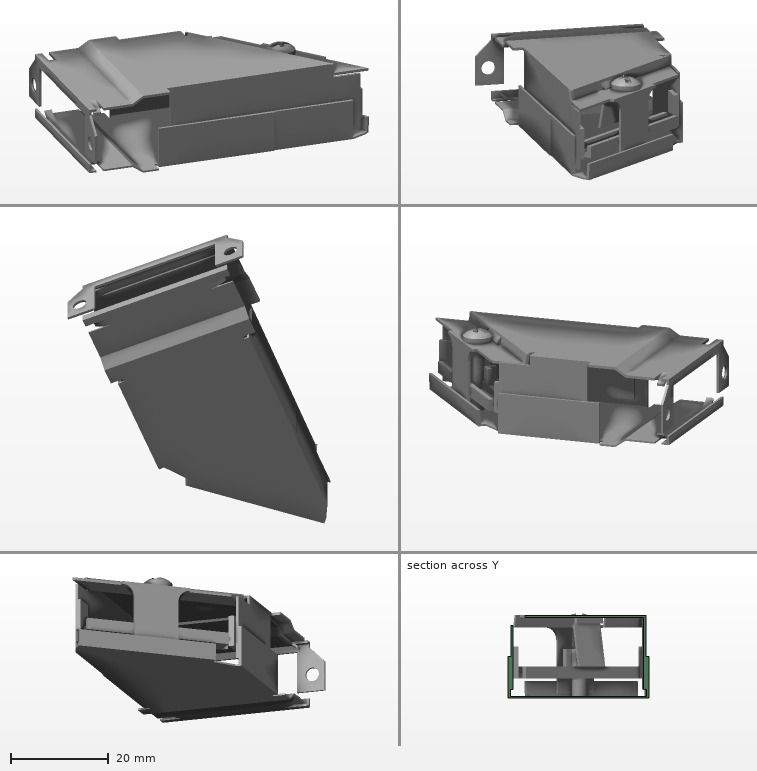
import cadquery as cq
import math

LENGTH = 62.75
LID_T = 0.55
BASE_T = 0.4
WALL_T = 0.6
FLANGE_T = 0.5
OVERLAP = 0.6

MOUTH_HALF = 16.0
JOG_START = 9.5
JOG_END = 11.8
LID_TOP = 17.0
LID_JOG = 1.45
BASE_JOG = 1.6
LID_MOUTH_END = 17.75
BASE_NECK_HALF = 13.35
BASE_MOUTH_END = 15.2
LINER_HALF = 13.35
LINER_END = 19.45

SLOT_START = 1.6
SLOT_END = 3.15
SLOT_INNER = 10.8
CURL_OUTER = 14.45
CURL_DROP = 1.5

EAR_HALF = 19.4
EAR_BOTTOM = 4.9
EAR_SIDE_TOP = 11.05
EAR_SHOULDER = 14.4
WINDOW_HALF = 13.35
WINDOW_TOP = 13.55
EAR_HOLE_X = 16.7
EAR_HOLE_Z = 8.5
EAR_HOLE_D = 2.9

BASE_FLANGE_TOP = 3.45

LEFT_OUTER = -14.7
LEFT_JOINT = LEFT_OUTER + WALL_T
LEFT_INNER = LEFT_JOINT + LID_T
RIGHT_OUTER = 14.4
RIGHT_OUTER_REAR = 14.1
RIGHT_JOINT = 13.9
RIGHT_JOINT_REAR = 13.4
BASE_WALL_TOP = 8.55
BASE_WALL_START = 15.8
LID_WALL_START = 18.6
LID_WALL_BOTTOM = 1.7
LEFT_WALL_END = 37.85
LEFT_STEP = 31.1
RIGHT_STEP = 41.05
RIGHT_BASE_END = 58.35
RIGHT_LID_END = 60.2
RIGHT_REAR_TOP = 14.0

REAR_ANGLE = math.radians(40)
COS = math.cos(REAR_ANGLE)
SIN = math.sin(REAR_ANGLE)
LID_EDGE_V = 33.0
RELIEF_TOE_X = -10.9
RELIEF_KNEE = (-11.5, 31.6)
RELIEF_TIP_X = -12.5
SHELF_TOP = 14.95
SHELF_BOTTOM = SHELF_TOP - LID_T
SHELF_EDGE_V = 38.85
SHELF_LEFT = -13.2
STEP_SLOPE = 0.5
STRAP_V = 39.85
STRAP_U = (27.35, 36.95)
STRAP_FILLET = 2.65
STRAP_BOTTOM = 0.95
REAR_V = 40.6
REAR_LEAN = 0.2
REAR_U = (19.45, (LENGTH - REAR_V * COS) / SIN)

TONGUE_U = (26.75, 33.65)
TONGUE_ROOT = 16.45
TONGUE_CREST_V = 33.9
TONGUE_CREST_Z = 15.2
TONGUE_FOOT_V = 32.25
TONGUE_BOTTOM = 6.45
RELIEF_D = 0.9
RELIEF_REACH = 1.2

CLAMP_T = 1.0
CLAMP_BOTTOM = 4.0
CLAMP_BAR_TOP = 6.45
CLAMP_V = 39.35
CLAMP_U = (16.2, 47.0)
CLAMP_INNER_V = 35.0
CLAMP_EAR_TOP = 10.5
CLAMP_EAR_LENGTH = 4.6
CLAMP_LEFT_X = -12.35
CLAMP_LEFT_END = 39.15
CLAMP_RIGHT_X = 12.2
CLAMP_RIGHT_END = 60.75
CLAMP_INNER_U = (15.2, 46.25)
STOP_U = (26.0, 28.5)
STOP_LEG = 1.45
STOP_TOP = 10.05

SCREW_Y = 47.75
HEAD_R = 3.0
HEAD_RIM_TOP = 16.05
HEAD_TOP = 17.4
SHAFT_D = 2.9
CROSS_W = 1.2
CROSS_L = 3.15
CROSS_TAPER = 15
CROSS_BOTTOM = 15.7
NOTCH_L = 4.95
NOTCH_BOTTOM = 16.6

REAR_PLANE = cq.Plane(origin=(0, 0, 0), xDir=(-SIN, COS, 0), normal=(COS, SIN, 0))
STRAP_PLANE = cq.Plane(
    origin=(-STRAP_V * SIN, STRAP_V * COS, 0), xDir=(COS, SIN, 0), normal=(SIN, -COS, 0)
)


def rear_point(u, v):
    """Plan position (x, y) of a point given along and across the rear end."""
    return (u * COS - v * SIN, u * SIN + v * COS)


def point_at_x(x, v):
    """Plan position where the rear line at distance v crosses a given x."""
    return (x, (v + x * SIN) / COS)


def u_at_x(x, v):
    return (x + v * SIN) / COS


def box(x0, x1, y0, y1, z0, z1):
    return cq.Workplane("XY").box(x1 - x0, y1 - y0, z1 - z0, centered=False).translate((x0, y0, z0))


def plate(points, z0, z1):
    """Flat plate with a polygonal plan."""
    return cq.Workplane("XY").workplane(offset=z0).polyline(points).close().extrude(z1 - z0)


def rear_bar(u_range, v0, v1, z0, z1):
    """Straight bar lying along the rear end."""
    corners = [(u_range[0], v0), (u_range[1], v0), (u_range[1], v1), (u_range[0], v1)]
    return plate([rear_point(u, v) for u, v in corners], z0, z1)


def rear_sheet(u_range, section):
    """Section drawn as (v, z), swept along the rear end."""
    sheet = cq.Workplane(REAR_PLANE).polyline(section).close().extrude(u_range[1] - u_range[0])
    return sheet.translate((u_range[0] * COS, u_range[0] * SIN, 0))


def jogged_sheet(half_width, y_start, y_end, z_front, z_back, thickness):
    """Sheet with one jog along Y; z_front and z_back are its underside heights."""
    under = [(y_start, z_front), (JOG_START, z_front), (JOG_END, z_back), (y_end, z_back)]
    upper = [(y, z + thickness) for y, z in reversed(under)]
    sheet = cq.Workplane("YZ").polyline(under + upper).close().extrude(2 * half_width)
    return sheet.translate((-half_width, 0, 0))


def slotted(sheet, z_outer, thickness, direction):
    """Cut both side slots and add the tongues curled up (+1) or down (-1) from them."""
    run = CURL_OUTER - SLOT_INNER
    radius = (run**2 + CURL_DROP**2) / (2 * CURL_DROP)
    half_sweep = math.atan2(CURL_DROP, run)
    mid_x = SLOT_INNER + radius * math.sin(half_sweep)
    mid_drop = radius * (1 - math.cos(half_sweep))
    inward = direction * thickness
    reach = 2 * thickness
    for side in (-1, 1):
        slot = box(SLOT_INNER, MOUTH_HALF, SLOT_START, SLOT_END, z_outer - reach, z_outer + reach)
        curl = (
            cq.Workplane("XZ")
            .moveTo(SLOT_INNER, z_outer)
            .threePointArc((mid_x, z_outer + direction * mid_drop),
                           (CURL_OUTER, z_outer + direction * CURL_DROP))
            .line(0, inward)
            .threePointArc((mid_x, z_outer + direction * mid_drop + inward),
                           (SLOT_INNER, z_outer + inward))
            .close()
            .extrude(-(SLOT_END - SLOT_START))
            .translate((0, SLOT_START, 0))
        )
        root = box(SLOT_INNER - OVERLAP, SLOT_INNER, SLOT_START, SLOT_END,
                   min(z_outer, z_outer + inward), max(z_outer, z_outer + inward))
        curl = curl.union(root)
        if side < 0:
            slot = slot.mirror("YZ")
            curl = curl.mirror("YZ")
        sheet = sheet.cut(slot).union(curl)
    return sheet


def lid_mouth():
    high = LID_TOP - LID_T
    low = high - LID_JOG
    mouth = jogged_sheet(MOUTH_HALF, 0, LID_MOUTH_END, low, high, LID_T)
    mouth = slotted(mouth, low + LID_T, LID_T, -1)
    liner = jogged_sheet(LINER_HALF, SLOT_END, LINER_END, low - LID_T, high - LID_T, LID_T)
    return mouth.union(liner)


def ear_flange():
    top = LID_TOP - LID_JOG
    right_side = [
        (WINDOW_HALF, WINDOW_TOP), (WINDOW_HALF, EAR_BOTTOM), (EAR_HALF, EAR_BOTTOM),
        (EAR_HALF, EAR_SIDE_TOP), (MOUTH_HALF, EAR_SHOULDER), (MOUTH_HALF, top),
    ]
    left_side = [(-x, z) for x, z in reversed(right_side)]
    flange = cq.Workplane("XZ").polyline(right_side + left_side).close().extrude(-FLANGE_T)
    holes = (
        cq.Workplane("XZ")
        .pushPoints([(-EAR_HOLE_X, EAR_HOLE_Z), (EAR_HOLE_X, EAR_HOLE_Z)])
        .circle(EAR_HOLE_D / 2)
        .extrude(-FLANGE_T)
    )
    return flange.cut(holes)


def lid_top():
    """Main cover with the corner relief on its left rear corner."""
    outline = [
        (LEFT_JOINT, LID_MOUTH_END - OVERLAP),
        (LEFT_JOINT, LEFT_STEP),
        (RELIEF_TOE_X, LEFT_STEP),
        RELIEF_KNEE,
        point_at_x(RELIEF_TIP_X, LID_EDGE_V),
        point_at_x(RIGHT_JOINT_REAR, LID_EDGE_V),
        (RIGHT_JOINT, LID_MOUTH_END - OVERLAP),
    ]
    return plate(outline, LID_TOP - LID_T, LID_TOP)


def lid_step():
    """Leaning step from the cover down to the shelf."""
    u_range = (u_at_x(SHELF_LEFT, LID_EDGE_V), u_at_x(RIGHT_JOINT_REAR, LID_EDGE_V))
    foot = LID_EDGE_V + STEP_SLOPE
    section = [
        (LID_EDGE_V - LID_T, LID_TOP), (LID_EDGE_V, LID_TOP),
        (foot, SHELF_BOTTOM), (foot - LID_T, SHELF_BOTTOM),
    ]
    return rear_sheet(u_range, section)


def lid_shelf():
    """Lower shelf under the screw head, wider at the strap."""
    outline = [
        point_at_x(SHELF_LEFT, LID_EDGE_V),
        point_at_x(RIGHT_JOINT_REAR, LID_EDGE_V),
        point_at_x(RIGHT_JOINT_REAR, SHELF_EDGE_V),
        point_at_x(SHELF_LEFT, SHELF_EDGE_V),
    ]
    shelf = plate(outline, SHELF_BOTTOM, SHELF_TOP)
    strap_root = (STRAP_U[0] - STRAP_FILLET, STRAP_U[1] + STRAP_FILLET)
    edge = rear_bar(strap_root, SHELF_EDGE_V - OVERLAP, STRAP_V, SHELF_BOTTOM, SHELF_TOP)
    return shelf.union(edge)


def tongue_window():
    """Opening through step and shelf around the tongue, with rounded ends."""
    left = TONGUE_U[0] - RELIEF_D
    right = TONGUE_U[1] + RELIEF_D
    round_v = LID_EDGE_V + RELIEF_REACH - RELIEF_D / 2
    window = rear_bar((left, right), LID_EDGE_V - LID_T, round_v, SHELF_BOTTOM, TONGUE_ROOT)
    for u in (left + RELIEF_D / 2, right - RELIEF_D / 2):
        end = cq.Workplane("XY").center(*rear_point(u, round_v)).circle(RELIEF_D / 2)
        window = window.union(end.extrude(TONGUE_ROOT))
    return window


def strap():
    """Strap bent down from the shelf, flared by fillets at its root."""
    bend = STRAP_FILLET * (1 - math.sqrt(0.5))
    spring = SHELF_BOTTOM - STRAP_FILLET
    left, right = STRAP_U
    return (
        cq.Workplane(STRAP_PLANE)
        .moveTo(left, STRAP_BOTTOM)
        .lineTo(left, spring)
        .threePointArc((left - bend, SHELF_BOTTOM - bend), (left - STRAP_FILLET, SHELF_BOTTOM))
        .lineTo(right + STRAP_FILLET, SHELF_BOTTOM)
        .threePointArc((right + bend, SHELF_BOTTOM - bend), (right, spring))
        .lineTo(right, STRAP_BOTTOM)
        .close()
        .extrude(LID_T)
    )


def tongue():
    """Tongue bulging out below the cover, then leaning inwards."""
    outer = [
        (LID_EDGE_V, TONGUE_ROOT), (TONGUE_CREST_V, TONGUE_CREST_Z), (TONGUE_FOOT_V, TONGUE_BOTTOM),
    ]
    foot = (TONGUE_FOOT_V - LID_T, TONGUE_BOTTOM)
    crest = (TONGUE_CREST_V - LID_T, TONGUE_CREST_Z)
    root_v = LID_EDGE_V - LID_T
    section = outer + [foot, crest, (root_v, TONGUE_CREST_Z), (root_v, LID_TOP - LID_T)]
    return rear_sheet(TONGUE_U, section)


def lid_walls():
    left = box(LEFT_JOINT, LEFT_INNER, LID_WALL_START, LEFT_STEP, LID_WALL_BOTTOM, LID_TOP)
    left = left.union(
        box(LEFT_JOINT, LEFT_INNER, LEFT_STEP, LEFT_WALL_END, LID_WALL_BOTTOM, SHELF_TOP)
    )
    shoulder = point_at_x(RIGHT_JOINT_REAR, LID_EDGE_V)
    outer = [(RIGHT_JOINT, LID_WALL_START), shoulder, (RIGHT_JOINT_REAR, RIGHT_LID_END)]
    inner = [(x - LID_T, y) for x, y in reversed(outer)]
    right = plate(outer + inner, LID_WALL_BOTTOM, LID_TOP)
    above_rear = box(
        RIGHT_JOINT_REAR - 2 * LID_T, RIGHT_JOINT, shoulder[1], LENGTH, RIGHT_REAR_TOP, LID_TOP
    )
    return left.union(right.cut(above_rear))


def base_mouth():
    mouth = jogged_sheet(MOUTH_HALF, 0, BASE_MOUTH_END, BASE_JOG, 0, BASE_T)
    mouth = slotted(mouth, BASE_JOG, BASE_T, 1)
    return mouth.union(box(-MOUTH_HALF, MOUTH_HALF, 0, FLANGE_T, BASE_JOG, BASE_FLANGE_TOP))


def base_floor():
    outline = [
        (-BASE_NECK_HALF, BASE_MOUTH_END - OVERLAP), (-BASE_NECK_HALF, BASE_WALL_START),
        (LEFT_OUTER, BASE_WALL_START), (LEFT_OUTER, LEFT_WALL_END),
        (LEFT_INNER, LEFT_WALL_END),
        rear_point(REAR_U[0], SHELF_EDGE_V), rear_point(REAR_U[0], REAR_V - REAR_LEAN),
        rear_point(REAR_U[1], REAR_V - REAR_LEAN), rear_point(REAR_U[1], SHELF_EDGE_V),
        (RIGHT_OUTER_REAR, RIGHT_BASE_END), (RIGHT_OUTER_REAR, RIGHT_STEP), (RIGHT_OUTER, RIGHT_STEP),
        (RIGHT_OUTER, BASE_WALL_START), (BASE_NECK_HALF, BASE_WALL_START),
        (BASE_NECK_HALF, BASE_MOUTH_END - OVERLAP),
    ]
    return plate(outline, 0, BASE_T)


def base_walls():
    left = box(LEFT_OUTER, LEFT_JOINT, BASE_WALL_START, LEFT_WALL_END, 0, BASE_WALL_TOP)
    shoulder = point_at_x(RIGHT_JOINT_REAR, LID_EDGE_V)
    right_plan = [
        (RIGHT_OUTER, BASE_WALL_START), (RIGHT_OUTER, RIGHT_STEP), (RIGHT_OUTER_REAR, RIGHT_STEP),
        (RIGHT_OUTER_REAR, RIGHT_BASE_END), (RIGHT_JOINT_REAR, RIGHT_BASE_END),
        shoulder, (RIGHT_JOINT, LID_WALL_START), (RIGHT_JOINT, BASE_WALL_START),
    ]
    foot = REAR_V - REAR_LEAN
    rear = rear_sheet(REAR_U, [
        (foot - WALL_T, 0), (foot, 0), (REAR_V, BASE_FLANGE_TOP), (REAR_V - WALL_T, BASE_FLANGE_TOP),
    ])
    return left.union(plate(right_plan, 0, BASE_WALL_TOP)).union(rear)


def clamp():
    inner_face = CLAMP_INNER_V + CLAMP_T
    floor_top = CLAMP_BOTTOM + CLAMP_T
    bar = rear_bar(CLAMP_U, CLAMP_V - CLAMP_T, CLAMP_V, CLAMP_BOTTOM, CLAMP_BAR_TOP)
    floor = rear_bar(CLAMP_U, inner_face, CLAMP_V, CLAMP_BOTTOM, floor_top)
    inner_bar = rear_bar(CLAMP_INNER_U, CLAMP_INNER_V, inner_face, CLAMP_BOTTOM, CLAMP_BAR_TOP)
    stop = rear_bar(STOP_U, CLAMP_INNER_V, inner_face, CLAMP_BOTTOM, STOP_TOP)
    leg_u = (STOP_U[1] - CLAMP_T, STOP_U[1])
    leg = rear_bar(leg_u, CLAMP_INNER_V - STOP_LEG, CLAMP_INNER_V, CLAMP_BAR_TOP, STOP_TOP)
    stop = stop.union(leg)
    left_ear = box(LEFT_INNER, CLAMP_LEFT_X, CLAMP_LEFT_END - CLAMP_EAR_LENGTH, CLAMP_LEFT_END,
                   CLAMP_BOTTOM, CLAMP_EAR_TOP)
    right_ear = box(CLAMP_RIGHT_X, CLAMP_RIGHT_X + CLAMP_T, CLAMP_RIGHT_END - CLAMP_EAR_LENGTH,
                    CLAMP_RIGHT_END, CLAMP_BOTTOM, CLAMP_EAR_TOP)
    return bar.union(floor).union(inner_bar).union(stop).union(left_ear).union(right_ear)


def screw():
    dome_rise = HEAD_TOP - HEAD_RIM_TOP
    dome_r = (HEAD_R**2 + dome_rise**2) / (2 * dome_rise)
    half_angle = math.asin(HEAD_R / dome_r) / 2
    dome_mid = (dome_r * math.sin(half_angle), HEAD_TOP - dome_r * (1 - math.cos(half_angle)))
    body = (
        cq.Workplane("XZ")
        .moveTo(0, 0)
        .lineTo(SHAFT_D / 2, 0)
        .lineTo(SHAFT_D / 2, SHELF_TOP)
        .lineTo(HEAD_R, SHELF_TOP)
        .lineTo(HEAD_R, HEAD_RIM_TOP)
        .threePointArc(dome_mid, (0, HEAD_TOP))
        .close()
        .revolve(360, (0, 0, 0), (0, 1, 0))
    )
    half_w = CROSS_W / 2
    top = cq.Workplane("XY").workplane(offset=HEAD_TOP)
    cross_depth = HEAD_TOP - CROSS_BOTTOM
    cross = top.rect(CROSS_W, CROSS_L).extrude(-cross_depth, taper=CROSS_TAPER)
    cross = cross.union(top.rect(CROSS_L, CROSS_W).extrude(-cross_depth, taper=CROSS_TAPER))
    notch = box(-half_w, half_w, -NOTCH_L / 2, NOTCH_L / 2, NOTCH_BOTTOM, HEAD_TOP)
    return body.cut(cross).cut(notch).translate((0, SCREW_Y, 0))


lid_features = (ear_flange, lid_top, lid_step, lid_shelf, strap, lid_walls)
other_features = (tongue, base_mouth, base_floor, base_walls, clamp, screw)
result = lid_mouth()
for feature in lid_features:
    result = result.union(feature())
result = result.cut(tongue_window())
for feature in other_features:
    result = result.union(feature())